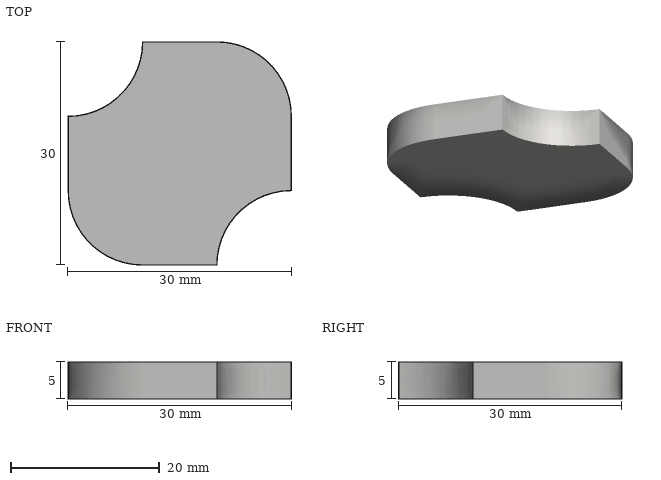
import cadquery as cq

side = 30.0
thickness = 5.0
corner_radius = 10.0


def square_plate():
    """Plain square plate centred on the Z axis, with its base on Z = 0."""
    return cq.Workplane("XY").box(side, side, thickness, centered=(True, True, False))


def round_corners(plate):
    """Round the (-X, -Y) and (+X, +Y) vertical edges."""
    diagonal = cq.Vector(1, 1, 0)
    far_edge = cq.selectors.DirectionMinMaxSelector(diagonal, True)
    near_edge = cq.selectors.DirectionMinMaxSelector(diagonal, False)
    vertical_edges = plate.edges("|Z")
    return vertical_edges.edges(far_edge + near_edge).fillet(corner_radius)


def corner_cutters():
    """Full-height cylinders centred on the (-X, +Y) and (+X, -Y) corners."""
    half_side = side / 2
    corners = [(-half_side, half_side), (half_side, -half_side)]
    return cq.Workplane("XY").pushPoints(corners).circle(corner_radius).extrude(thickness)


result = round_corners(square_plate()).cut(corner_cutters())